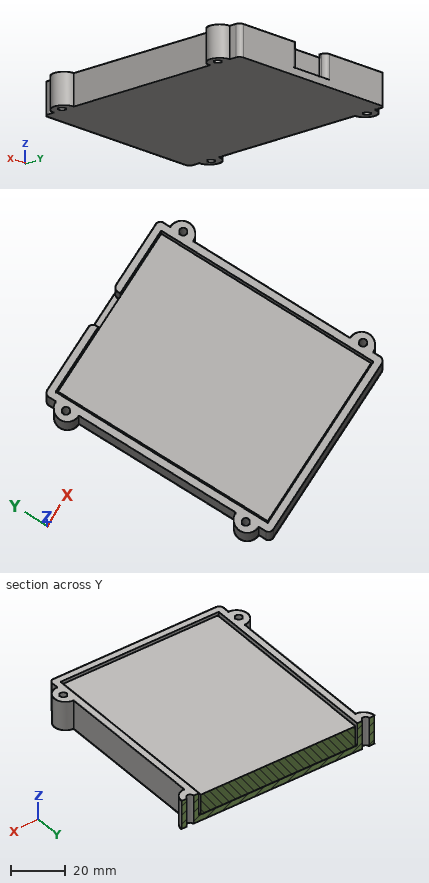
import cadquery as cq

HOUSING_WIDTH = 78.0
HOUSING_LENGTH = 98.0
HOUSING_HEIGHT = 13.0
CORNER_RADIUS = 2.0
WALL = 3.0
FLOOR = 3.0

LUG_RADIUS = 5.0
LUG_OFFSET_Y = 39.0
SCREW_HOLE_DIAMETER = 3.0
SCREW_HOLE_OFFSET_X = 40.0

NOTCH_WIDTH = 15.0
NOTCH_CENTRE_X = 0.5
NOTCH_CORNER_RADIUS = CORNER_RADIUS

PANEL_SIDE_GAP = 0.75
PANEL_END_GAP = 0.5
PANEL_RECESS = 1.0

POCKET_WIDTH = HOUSING_WIDTH - 2 * WALL
POCKET_LENGTH = HOUSING_LENGTH - 2 * WALL
POCKET_DEPTH = HOUSING_HEIGHT - FLOOR
SIDES = (-1, 1)


def mounting_lugs():
    """Four full-height round lugs centred on the side faces."""
    centres = [(sx * HOUSING_WIDTH / 2, sy * LUG_OFFSET_Y) for sx in SIDES for sy in SIDES]
    return cq.Workplane("XY").pushPoints(centres).circle(LUG_RADIUS).extrude(HOUSING_HEIGHT)


def screw_holes():
    """Cutters for the through hole in each lug."""
    centres = [(sx * SCREW_HOLE_OFFSET_X, sy * LUG_OFFSET_Y) for sx in SIDES for sy in SIDES]
    return cq.Workplane("XY").pushPoints(centres).circle(SCREW_HOLE_DIAMETER / 2).extrude(HOUSING_HEIGHT)


def pocket():
    """Cutter for the rectangular pocket, open at the top."""
    return (
        cq.Workplane("XY")
        .workplane(offset=FLOOR)
        .rect(POCKET_WIDTH, POCKET_LENGTH)
        .extrude(POCKET_DEPTH)
    )


def wall_notch():
    """Cutter for the notch, from the pocket floor up, widening along an arc to the outer face."""
    inner_y = POCKET_LENGTH / 2
    outer_y = HOUSING_LENGTH / 2
    arc_start_y = outer_y - NOTCH_CORNER_RADIUS
    inner_x = NOTCH_WIDTH / 2
    outer_x = inner_x + NOTCH_CORNER_RADIUS
    return (
        cq.Workplane("XY")
        .workplane(offset=FLOOR)
        .center(NOTCH_CENTRE_X, 0)
        .moveTo(-inner_x, inner_y)
        .lineTo(inner_x, inner_y)
        .lineTo(inner_x, arc_start_y)
        .radiusArc((outer_x, outer_y), NOTCH_CORNER_RADIUS)
        .lineTo(-outer_x, outer_y)
        .radiusArc((-inner_x, arc_start_y), NOTCH_CORNER_RADIUS)
        .close()
        .extrude(POCKET_DEPTH)
    )


def make_housing():
    """Open tray with rounded corners, four lugs and a notched end wall."""
    block = (
        cq.Workplane("XY")
        .rect(HOUSING_WIDTH, HOUSING_LENGTH)
        .extrude(HOUSING_HEIGHT)
        .edges("|Z")
        .fillet(CORNER_RADIUS)
    )
    return block.union(mounting_lugs()).cut(pocket()).cut(screw_holes()).cut(wall_notch())


def make_panel():
    """Plain block resting on the pocket floor, its top just below the housing rim."""
    return (
        cq.Workplane("XY")
        .workplane(offset=FLOOR)
        .rect(POCKET_WIDTH - 2 * PANEL_SIDE_GAP, POCKET_LENGTH - 2 * PANEL_END_GAP)
        .extrude(POCKET_DEPTH - PANEL_RECESS)
    )


housing = make_housing()
panel = make_panel()

result = cq.Compound.makeCompound([housing.val(), panel.val()])